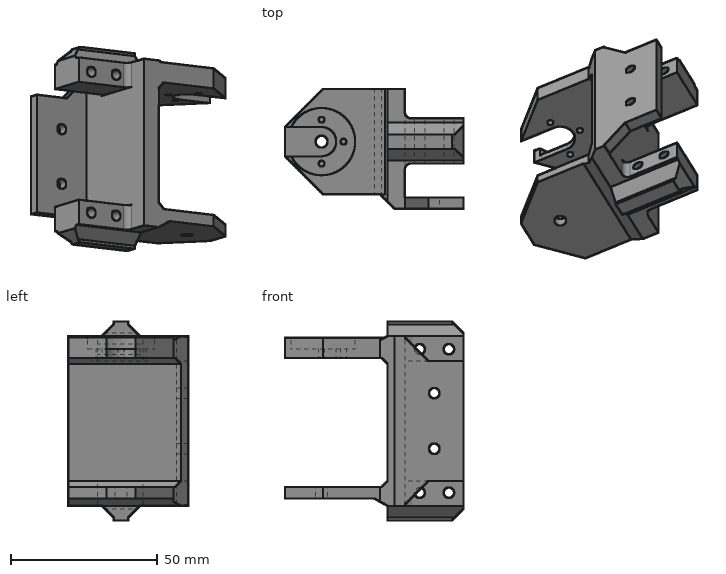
import cadquery as cq


plate_x_min = 22.5
plate_thickness = 6.0
plate_x_max = plate_x_min + plate_thickness
half_height = 29.0
side_y_max = 18.0
side_y_min = -23.0
corner_chamfer = 2.5

arm_tip_x = -12.5
arm_half_width = side_y_max
arm_tip_half_width = 5.0
arm_taper = arm_half_width - arm_tip_half_width
upper_arm_bottom = 21.5
upper_arm_top = 28.5
lower_arm_bottom = -26.5
lower_arm_top = -22.5
inner_gusset = 2.0
outer_gusset_length = 4.5
outer_gusset_drop = 2.5
pivot_hole_diameter = 4.0

recess_diameter = 23.0
recess_floor = 24.5
slot_width = 2 * arm_tip_half_width
screw_hole_diameter = 2.0
screw_circle_radius = 7.5

end_x = 48.5
tongue_y_min = -7.5
tongue_y_max = 8.0
tongue_root_fillet = 2.0
tongue_inner_z = 20.5
flange_thickness = 4.0
flange_half_height = 20.5
flange_taper = 8.0
mount_hole_diameter = 3.5
mount_hole_x = 38.5
tongue_hole_offset = 5.0
tongue_hole_z = 24.5
flange_hole_z = 9.5

rail_base_half_width = 6.5
rail_tip_half_width = 2.5
rail_height = 5.0
rail_slope = rail_base_half_width - rail_tip_half_width
rail_end_chamfer = 4.0


def prism_xy(points, z_min, z_max):
    """Solid with an XY outline between two heights."""
    return cq.Workplane("XY").workplane(offset=z_min).polyline(points).close().extrude(z_max - z_min)


def prism_xz(points, y_min, y_max):
    """Solid with an XZ outline between two Y positions."""
    return cq.Workplane("XZ").workplane(offset=-y_max).polyline(points).close().extrude(y_max - y_min)


def z_cylinder(x, y, diameter, z_min, z_max):
    return cq.Workplane("XY").workplane(offset=z_min).center(x, y).circle(diameter / 2).extrude(z_max - z_min)


def y_hole(x, z):
    """Mounting hole running along Y across the whole width."""
    length = side_y_max - side_y_min
    plane = cq.Workplane("XZ").workplane(offset=-side_y_max)
    return plane.center(x, z).circle(mount_hole_diameter / 2).extrude(length)


def make_plate():
    outline = [
        (plate_x_min, side_y_max),
        (plate_x_max, side_y_max),
        (plate_x_max, side_y_min),
        (plate_x_min + corner_chamfer, side_y_min),
        (plate_x_min, side_y_min + corner_chamfer),
    ]
    return prism_xy(outline, -half_height, half_height)


def make_arm(z_min, z_max):
    outline = [
        (arm_tip_x, arm_tip_half_width),
        (arm_tip_x + arm_taper, arm_half_width),
        (plate_x_min, arm_half_width),
        (plate_x_min, -arm_half_width),
        (arm_tip_x + arm_taper, -arm_half_width),
        (arm_tip_x, -arm_tip_half_width),
    ]
    return prism_xy(outline, z_min, z_max)


def make_gusset(arm_inner_z, outward):
    """Flared arm root whose side continues the plate's corner chamfer up to the arm's side.

    outward is the Z direction away from mid-height: 1 for the upper arm, -1 for the lower arm.
    """
    root_x = plate_x_min - outer_gusset_length
    corner_y = side_y_min + corner_chamfer
    flare = -arm_half_width - corner_y
    profile = [
        (root_x, outward * (half_height - outer_gusset_drop)),
        (plate_x_min, outward * half_height),
        (plate_x_min, arm_inner_z - outward * inner_gusset),
        (plate_x_min - inner_gusset, arm_inner_z),
        (root_x, arm_inner_z),
    ]
    outline = [
        (root_x, arm_half_width),
        (plate_x_min, arm_half_width),
        (plate_x_min, corner_y),
        (plate_x_min - flare, -arm_half_width),
        (root_x, -arm_half_width),
    ]
    block = prism_xy(outline, -half_height, half_height)
    return prism_xz(profile, side_y_min, side_y_max).intersect(block)


def cut_horn_seat(body):
    """Round recess, open-ended slot and three screw holes in the upper arm."""
    body = body.cut(z_cylinder(0, 0, recess_diameter, recess_floor, half_height))
    body = body.cut(z_cylinder(0, 0, slot_width, upper_arm_bottom, half_height))
    slot = [
        (arm_tip_x, -slot_width / 2),
        (0, -slot_width / 2),
        (0, slot_width / 2),
        (arm_tip_x, slot_width / 2),
    ]
    body = body.cut(prism_xy(slot, upper_arm_bottom, half_height))
    screw_centers = [(screw_circle_radius, 0), (0, screw_circle_radius), (0, -screw_circle_radius)]
    for x, y in screw_centers:
        body = body.cut(z_cylinder(x, y, screw_hole_diameter, upper_arm_bottom, upper_arm_top))
    return body


def make_tongue():
    """Tongue at the top end, blended into the plate by concave fillets and drilled along Y."""
    root_x = plate_x_max + tongue_root_fillet
    tongue = (
        cq.Workplane("XY")
        .workplane(offset=tongue_inner_z)
        .moveTo(plate_x_max, tongue_y_max + tongue_root_fillet)
        .radiusArc((root_x, tongue_y_max), -tongue_root_fillet)
        .lineTo(end_x, tongue_y_max)
        .lineTo(end_x, tongue_y_min)
        .lineTo(root_x, tongue_y_min)
        .radiusArc((plate_x_max, tongue_y_min - tongue_root_fillet), -tongue_root_fillet)
        .close()
        .extrude(half_height - tongue_inner_z)
    )
    for offset in (-tongue_hole_offset, tongue_hole_offset):
        tongue = tongue.cut(y_hole(mount_hole_x + offset, tongue_hole_z))
    return tongue


def make_flange():
    outline = [
        (plate_x_max, flange_half_height + flange_taper),
        (plate_x_max + flange_taper, flange_half_height),
        (end_x, flange_half_height),
        (end_x, -flange_half_height),
        (plate_x_max + flange_taper, -flange_half_height),
        (plate_x_max, -flange_half_height - flange_taper),
    ]
    flange = prism_xz(outline, side_y_min, side_y_min + flange_thickness)
    for z in (-flange_hole_z, flange_hole_z):
        flange = flange.cut(y_hole(mount_hole_x, z))
    return flange


def make_rail():
    """Tapered rail on the top end, bevelled at its far end."""
    rail_top = half_height + rail_height
    section = [
        (-rail_base_half_width, half_height),
        (rail_base_half_width, half_height),
        (rail_tip_half_width, half_height + rail_slope),
        (rail_tip_half_width, rail_top),
        (-rail_tip_half_width, rail_top),
        (-rail_tip_half_width, half_height + rail_slope),
    ]
    start = cq.Workplane("YZ").workplane(offset=plate_x_min)
    rail = start.polyline(section).close().extrude(end_x - plate_x_min)
    bevel = [
        (end_x, rail_top - rail_end_chamfer),
        (end_x, rail_top),
        (end_x - rail_end_chamfer, rail_top),
    ]
    return rail.cut(prism_xz(bevel, -rail_base_half_width, rail_base_half_width))


upper_arm = cut_horn_seat(make_arm(upper_arm_bottom, upper_arm_top))
lower_arm = make_arm(lower_arm_bottom, lower_arm_top)
lower_arm = lower_arm.cut(z_cylinder(0, 0, pivot_hole_diameter, lower_arm_bottom, lower_arm_top))

top_tongue = make_tongue().union(make_rail())
bottom_tongue = top_tongue.mirror("XY")

result = (
    make_plate()
    .union(upper_arm)
    .union(lower_arm)
    .union(make_gusset(upper_arm_bottom, 1))
    .union(make_gusset(lower_arm_top, -1))
    .union(make_flange())
    .union(top_tongue)
    .union(bottom_tongue)
)